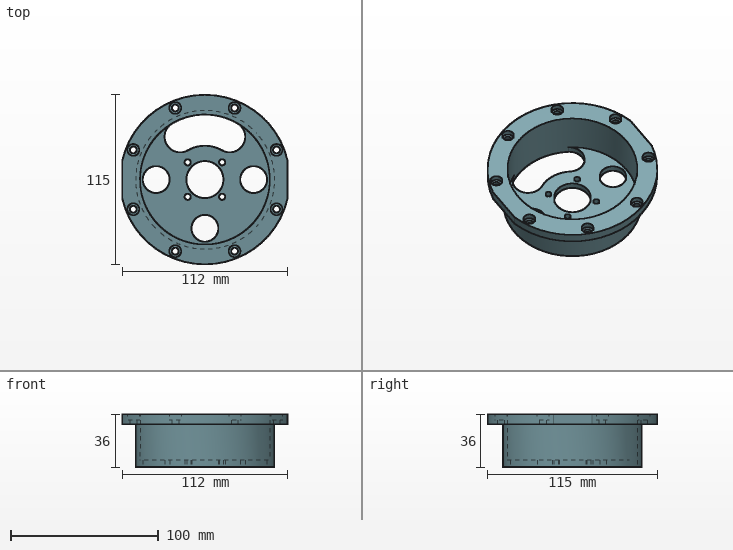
import cadquery as cq
import math

flange_diameter = 115.0
flange_width = 112.0
flange_thickness = 7.0

total_height = 36.0
cup_diameter = 94.1
cavity_diameter = 88.0
floor_thickness = 5.0

flange_hole_count = 8
flange_hole_circle = 105.0
flange_hole_diameter = 4.5
counterbore_diameter = 8.0
counterbore_depth = 4.0

center_hole_diameter = 25.0
small_hole_spacing = 23.3
small_hole_diameter = 4.0
round_window_diameter = 18.0
round_window_offset = 33.0
slot_inner_radius = 23.0
slot_half_angle = 30.0


def polar(radius, degrees):
    angle = math.radians(degrees)
    return (radius * math.cos(angle), radius * math.sin(angle))


def make_body():
    """Round cup with a flange at its rim, flattened on both X sides."""
    flange_bottom = total_height - flange_thickness
    flange = (
        cq.Workplane("XY")
        .workplane(offset=flange_bottom)
        .circle(flange_diameter / 2)
        .extrude(flange_thickness)
    )
    trim = cq.Workplane("XY").box(flange_width, flange_diameter, total_height, centered=(True, True, False))
    cup = cq.Workplane("XY").circle(cup_diameter / 2).extrude(total_height)
    cavity = (
        cq.Workplane("XY")
        .workplane(offset=floor_thickness)
        .circle(cavity_diameter / 2)
        .extrude(total_height - floor_thickness)
    )
    return cup.union(flange.intersect(trim)).cut(cavity)


def cut_flange_holes(body):
    """Counterbored holes, spaced evenly and set half a step off the X axis."""
    half_step = 180 / flange_hole_count
    return (
        body.faces(">Z")
        .workplane(origin=(0, 0, total_height))
        .polarArray(flange_hole_circle / 2, half_step, 360, flange_hole_count)
        .cboreHole(flange_hole_diameter, counterbore_diameter, counterbore_depth)
    )


def make_round_openings():
    """Center hole, four small holes around it and three round windows."""
    windows = [(-round_window_offset, 0), (round_window_offset, 0), (0, -round_window_offset)]
    center = cq.Workplane("XY").circle(center_hole_diameter / 2).extrude(floor_thickness)
    small = (
        cq.Workplane("XY")
        .rect(small_hole_spacing, small_hole_spacing, forConstruction=True)
        .vertices()
        .circle(small_hole_diameter / 2)
        .extrude(floor_thickness)
    )
    window = cq.Workplane("XY").pushPoints(windows).circle(round_window_diameter / 2).extrude(floor_thickness)
    return center.union(small).union(window)


def make_curved_slot():
    """Arc slot with round ends; its outer edge follows the cavity wall."""
    outer_radius = cavity_diameter / 2
    middle_radius = (outer_radius + slot_inner_radius) / 2
    end_radius = (outer_radius - slot_inner_radius) / 2
    right = 90 - slot_half_angle
    left = 90 + slot_half_angle

    def end_tip(degrees, side):
        x, y = polar(middle_radius, degrees)
        dx, dy = polar(end_radius, degrees + side * 90)
        return (x + dx, y + dy)

    return (
        cq.Workplane("XY")
        .moveTo(*polar(outer_radius, right))
        .threePointArc((0, outer_radius), polar(outer_radius, left))
        .threePointArc(end_tip(left, 1), polar(slot_inner_radius, left))
        .threePointArc((0, slot_inner_radius), polar(slot_inner_radius, right))
        .threePointArc(end_tip(right, -1), polar(outer_radius, right))
        .close()
        .extrude(floor_thickness)
    )


body = cut_flange_holes(make_body())
result = body.cut(make_round_openings()).cut(make_curved_slot())